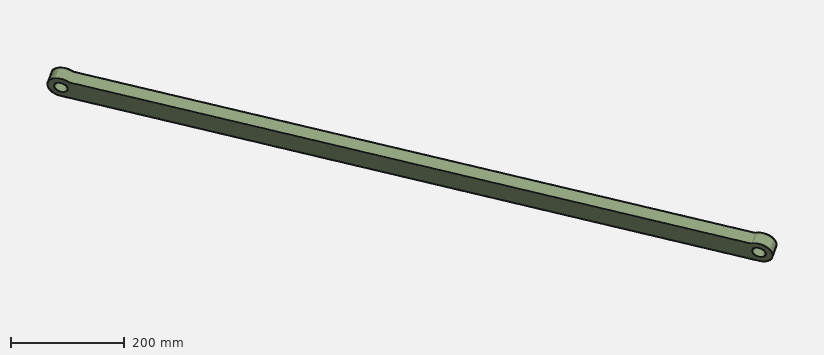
import math

import cadquery as cq

pin_spacing = 1281.0
eye_radius = 25.0
hole_diameter = 25.0
thickness = 25.0
bar_height = 45.0
underside_depth = 24.77
fillet_radius = 10.0

half_spacing = pin_spacing / 2
bar_top = bar_height - underside_depth

blend_angle = math.acos((bar_top + fillet_radius) / (eye_radius + fillet_radius))
underside_angle = -math.acos(-underside_depth / eye_radius)


def polar_point(center, radius, angle):
    """Point (x, z) at an angle from the vertical around a centre."""
    return (center[0] + radius * math.sin(angle), center[1] + radius * math.cos(angle))


def make_left_half():
    """Left half of the link: one eye blending into the bar, up to the X = 0 plane."""
    eye_center = (-half_spacing, 0)
    fillet_center = polar_point(eye_center, eye_radius + fillet_radius, blend_angle)

    eye_start = polar_point(eye_center, eye_radius, underside_angle)
    eye_middle = polar_point(eye_center, eye_radius, (underside_angle + blend_angle) / 2)
    eye_end = polar_point(eye_center, eye_radius, blend_angle)
    fillet_middle = polar_point(fillet_center, fillet_radius, math.pi + blend_angle / 2)
    fillet_end = (fillet_center[0], bar_top)

    return (
        cq.Workplane("XZ")
        .moveTo(0, -underside_depth)
        .lineTo(*eye_start)
        .threePointArc(eye_middle, eye_end)
        .threePointArc(fillet_middle, fillet_end)
        .lineTo(0, bar_top)
        .close()
        .extrude(thickness / 2, both=True)
    )


def make_pin_holes():
    """Through holes concentric with the two eyes."""
    return (
        cq.Workplane("XZ")
        .pushPoints([(-half_spacing, 0), (half_spacing, 0)])
        .circle(hole_diameter / 2)
        .extrude(thickness / 2, both=True)
    )


left_half = make_left_half()
link = left_half.union(left_half.mirror("YZ"))
result = link.cut(make_pin_holes())